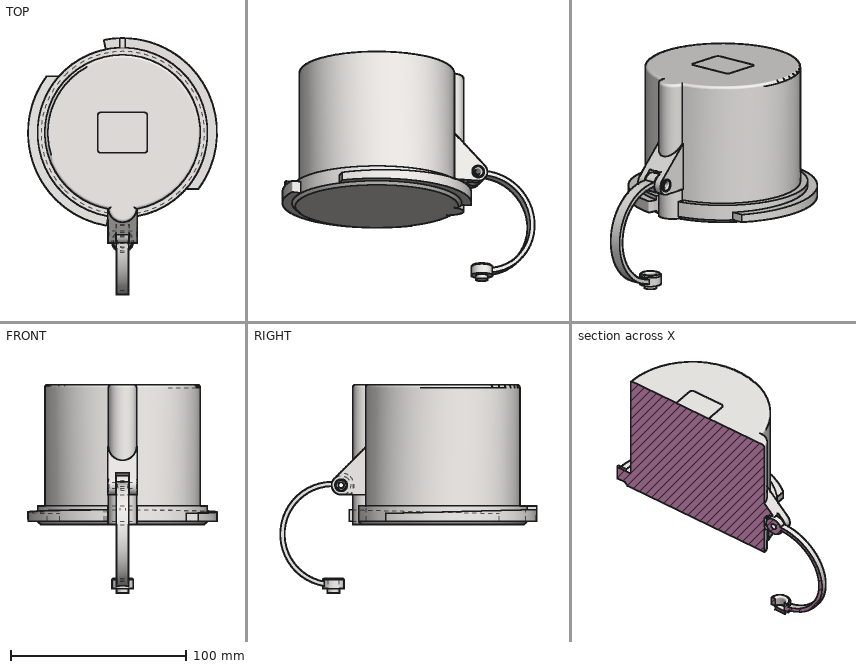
import cadquery as cq
import math

lug_diameter = 108.0
overall_length = 146.5
lug_radius = lug_diameter / 2
strap_reach = overall_length - lug_radius

body_radius = 44.4
body_height = 80.0
bead_radius = 8.0
bead_y = -43.1
top_round = 1.8

label_length = 28.4
label_width = 23.1
label_corner = 1.9
label_depth = 0.1

flange_radius = 48.5
flange_height = 10.7
flange_chamfer = 1.9

lug_bottom = flange_chamfer
lug_low_top = 6.5
lug_high_top = 8.6
lug_flat_y = 32.2
lug_corner_round = 0.9
front_lug_end_gap = 9.6
back_lug_end_gap = -11.5
stop_rib_width = 3.0

bracket_width = 16.8
bracket_root_y = -41.0
pivot_y = -57.7
pivot_z = 22.5
knuckle_radius = 5.4
bracket_slope = 45.0
slot_width = 7.9
slot_radius = 7.2
pin_radius = 3.5
pin_chamfer = 0.6
pin_bore_radius = 1.6
pin_bore_round = 1.2

strap_width = 6.9
strap_thickness = 2.6
strap_radius = 30.0
strap_y = strap_radius - strap_reach
strap_z = -5.4

button_y = -62.1
button_radius = 6.2
button_top = -30.5
button_height = 6.0
button_chamfer = 0.9
stem_radius = 3.5
stem_bottom = -39.0
button_hole_radius = 3.1
button_hole_round = 1.2


def along_x(y, z, radius, length):
    """Cylinder along X, centred on the YZ symmetry plane."""
    return cq.Workplane("YZ").center(y, z).circle(radius).extrude(length / 2, both=True)


def make_body():
    meet_y = (body_radius**2 - bead_radius**2 + bead_y**2) / (2 * bead_y)
    meet_x = math.sqrt(body_radius**2 - meet_y**2)
    body = (
        cq.Workplane("XY")
        .moveTo(meet_x, meet_y)
        .threePointArc((0, body_radius), (-meet_x, meet_y))
        .threePointArc((0, bead_y - bead_radius), (meet_x, meet_y))
        .close()
        .extrude(body_height)
    )
    body = body.faces(">Z").edges().fillet(top_round)
    label = (
        cq.Workplane("XY", origin=(0, 0, body_height - label_depth))
        .rect(label_length, label_width)
        .extrude(label_depth)
        .edges("|Z")
        .fillet(label_corner)
    )
    return body.cut(label)


def make_flange():
    flange = cq.Workplane("XY").circle(flange_radius).extrude(flange_height)
    return flange.faces("<Z").edges().chamfer(flange_chamfer)


def make_lug(end_gap):
    """Lug on the -X side, rising from a flat low end at +Y to a radial high end near -Y."""
    disc = cq.Workplane("XY").circle(lug_radius).extrude(flange_height)
    far = lug_diameter
    footprint = (
        cq.Workplane("XY")
        .moveTo(0, 0)
        .lineTo(0, lug_flat_y)
        .lineTo(-far, lug_flat_y)
        .lineTo(-far, -far)
        .lineTo(-far * math.tan(math.radians(end_gap)), -far)
        .close()
        .extrude(flange_height)
    )
    side_profile = (
        cq.Workplane("YZ")
        .moveTo(lug_flat_y, lug_bottom)
        .lineTo(lug_flat_y, lug_low_top)
        .lineTo(-lug_radius, lug_high_top)
        .lineTo(-lug_radius, lug_bottom)
        .close()
        .extrude(far, both=True)
    )
    lug = disc.intersect(footprint).intersect(side_profile)
    return lug.edges("|Z").edges("<Y").fillet(lug_corner_round)


def make_stop_rib():
    """Radial rib on top of the +Y lug, reaching the lug's outer radius."""
    height = flange_height - lug_bottom
    plane = cq.Workplane("XY", origin=(0, 0, lug_bottom))
    disc = plane.circle(lug_radius).extrude(height)
    bar = plane.center(0, lug_radius / 2).rect(stop_rib_width, lug_radius).extrude(height)
    return disc.intersect(bar)


def make_bead_gap():
    """Opening through the base ring, as wide as the bracket, where the bead passes."""
    plane = cq.Workplane("XY").center(0, -lug_radius)
    return plane.rect(bracket_width, 2 * (lug_radius + bracket_root_y)).extrude(flange_height)


def make_bracket():
    slope = math.radians(bracket_slope)
    tangent_y = pivot_y - knuckle_radius * math.sin(slope)
    tangent_z = pivot_z + knuckle_radius * math.cos(slope)
    root_top = tangent_z + (bracket_root_y - tangent_y) * math.tan(slope)
    bracket = (
        cq.Workplane("YZ")
        .moveTo(bracket_root_y, pivot_z - knuckle_radius)
        .lineTo(bracket_root_y, root_top)
        .lineTo(tangent_y, tangent_z)
        .threePointArc(
            (pivot_y - knuckle_radius, pivot_z),
            (pivot_y, pivot_z - knuckle_radius),
        )
        .close()
        .extrude(bracket_width / 2, both=True)
    )
    pin_hole = along_x(pivot_y, pivot_z, pin_radius, bracket_width)
    slot = along_x(pivot_y, pivot_z, slot_radius, slot_width)
    return bracket.cut(pin_hole).cut(slot)


def make_pin():
    """Tubular hinge pin with eased ends and a rounded bore mouth."""
    pin = along_x(pivot_y, pivot_z, pin_radius, bracket_width)
    pin = pin.faces("<X or >X").edges().chamfer(pin_chamfer)
    pin = pin.cut(along_x(pivot_y, pivot_z, pin_bore_radius, bracket_width))
    for side in ("<X", ">X"):
        bore_mouth = pin.faces(side).edges(cq.selectors.RadiusNthSelector(0))
        pin = bore_mouth.fillet(pin_bore_round)
    return pin


def make_strap():
    inner_radius = strap_radius - strap_thickness
    ring = along_x(strap_y, strap_z, strap_radius, strap_width)
    ring = ring.cut(along_x(strap_y, strap_z, inner_radius, strap_width))
    outer_half = (
        cq.Workplane("YZ")
        .center(strap_y - strap_radius / 2, strap_z)
        .rect(strap_radius, 2 * strap_radius)
        .extrude(strap_width, both=True)
    )
    knuckle = along_x(pivot_y, pivot_z, knuckle_radius, strap_width)
    pin_hole = along_x(pivot_y, pivot_z, pin_radius, strap_width)
    return ring.intersect(outer_half).union(knuckle).cut(pin_hole)


def button_plug(radius, bottom, top):
    return cq.Workplane("XY", origin=(0, button_y, bottom)).circle(radius).extrude(top - bottom)


def add_button(strap):
    """Hollow button with a stub stem, joined to the strap with its hole kept open."""
    button_bottom = button_top - button_height
    head = button_plug(button_radius, button_bottom, button_top)
    head = head.faces(">Z").edges().chamfer(button_chamfer)
    hole = button_plug(button_hole_radius, button_bottom, button_top)
    head = head.cut(hole)
    head = head.faces(">Z").edges(cq.selectors.RadiusNthSelector(0)).fillet(button_hole_round)
    stem = button_plug(stem_radius, stem_bottom, button_bottom)
    return strap.cut(hole).union(head).union(stem)


front_lug = make_lug(front_lug_end_gap)
back_lug = make_lug(back_lug_end_gap).rotate((0, 0, 0), (0, 0, 1), 180)
base_ring = make_flange().union(front_lug).union(back_lug).union(make_stop_rib())
base_ring = base_ring.cut(make_bead_gap())

result = (
    make_body()
    .union(base_ring)
    .union(make_bracket())
    .union(add_button(make_strap()))
    .union(make_pin())
)